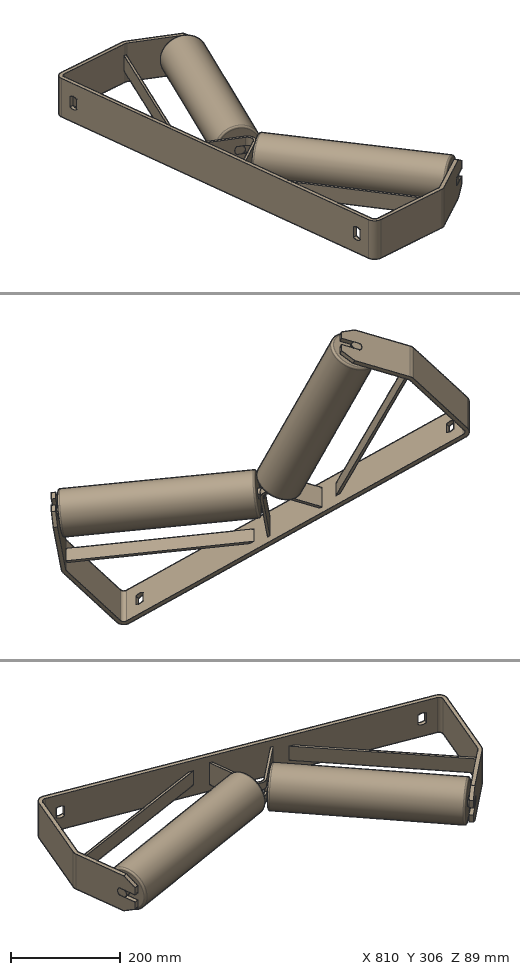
import cadquery as cq
import math


frame_length = 810.0
frame_height = 80.0
frame_thickness = 8.0
frame_bend_radius = 16.0
side_height = 181.0
tilt = math.radians(30)

seat_distance = 109.0
tip_beyond_seat = 30.0
tip_chamfer_length = 26.0
tip_chamfer_height = 15.0
slot_width = 16.0

mount_inset = 46.0
mount_width = 16.0
mount_diameter = 27.0

roller_diameter = 89.0
roller_length = 364.5
roller_rounding = 4.0
roller_gap = 5.0
shaft_diameter = 20.0

bracket_thickness = 5.0
bracket_height = 50.0
bracket_bend_radius = 16.0

brace_thickness = 5.0
brace_height = 32.0
brace_top = 179.0
brace_foot = 95.0

arm_direction = cq.Vector(math.sin(tilt), math.cos(tilt), 0)
axis_direction = cq.Vector(math.cos(tilt), -math.sin(tilt), 0)
frame_corner = cq.Vector(-frame_length / 2, 0, 0)
arm_corner = cq.Vector(-frame_length / 2, side_height, 0)
seat = arm_corner + arm_direction * seat_distance
arm_tip = seat + arm_direction * tip_beyond_seat

roller_start = frame_thickness + roller_gap
bracket_start = roller_start + roller_length + roller_gap
shaft_length = bracket_start + bracket_thickness
bracket_seat = seat + axis_direction * bracket_start
outer_apex_y = bracket_seat.y - bracket_seat.x / math.tan(tilt)
inner_apex_y = outer_apex_y - bracket_thickness / math.sin(tilt)


def mirrored_strap(left_half, height):
    """Extrude the left half of a strap's outline and join it to its mirror image."""
    half = cq.Workplane("XY").polyline(left_half).close().extrude(height / 2, both=True)
    return half.union(half.mirror("YZ"), clean=True)


def round_bends(strap, left_corners, radius):
    """Round the upright edges at the given corners and at their mirror images."""
    corners = set(left_corners + [(-x, y) for x, y in left_corners])
    for x, y in sorted(corners):
        strap = strap.edges(cq.NearestToPointSelector((x, y, 0))).fillet(radius)
    return strap


def plane_on_axis(distance):
    """Plane square to the left roller axis: local X runs up the arm, normal along the axis."""
    origin = seat + axis_direction * distance
    return cq.Plane(origin=origin.toTuple(), xDir=arm_direction.toTuple(), normal=axis_direction.toTuple())


def flat_shaft_piece(start, length):
    """Shaft piece with flats on top and below, as wide as the slots."""
    plane = plane_on_axis(start)
    round_piece = cq.Workplane(plane).circle(shaft_diameter / 2).extrude(length)
    flats = cq.Workplane(plane).rect(shaft_diameter, slot_width).extrude(length)
    return round_piece.intersect(flats)


def shaft_slot(start, depth, length):
    """Slot whose bottom fits the flattened shaft, open up the arm."""
    channel = cq.Workplane(plane_on_axis(start)).center(length / 2, 0).rect(length, slot_width).extrude(depth)
    return channel.union(flat_shaft_piece(start, depth))


def cut_on_both_sides(body, cutter):
    return body.cut(cutter).cut(cutter.mirror("YZ"))


def make_frame():
    inner_side_x = -frame_length / 2 + frame_thickness
    inner_corner = (inner_side_x, frame_thickness)
    inner_arm_corner = (inner_side_x, side_height - frame_thickness * math.tan(tilt / 2))
    inner_tip = arm_tip + axis_direction * frame_thickness
    outer_half = [(0, 0), (frame_corner.x, 0), (arm_corner.x, arm_corner.y), (arm_tip.x, arm_tip.y)]
    inner_half = [(inner_tip.x, inner_tip.y), inner_arm_corner, inner_corner, (0, frame_thickness)]
    frame = mirrored_strap(outer_half + inner_half, frame_height)

    frame = round_bends(frame, outer_half[1:3], frame_bend_radius)
    frame = round_bends(frame, inner_half[1:3], frame_bend_radius - frame_thickness)

    tip_plane = plane_on_axis(0)
    shoulder = tip_beyond_seat - tip_chamfer_length
    half_height = frame_height / 2
    corner = [(shoulder, half_height), (tip_beyond_seat, half_height)]
    corner.append((tip_beyond_seat, half_height - tip_chamfer_height))
    for side in (-1, 1):
        points = [(x, side * y) for x, y in corner]
        chamfer = cq.Workplane(tip_plane).polyline(points).close().extrude(frame_thickness)
        frame = cut_on_both_sides(frame, chamfer)

    frame = cut_on_both_sides(frame, shaft_slot(0, frame_thickness, tip_beyond_seat))

    mount = cq.Workplane("XZ", origin=(-frame_length / 2 + mount_inset, frame_thickness, 0))
    mount_circle = mount.circle(mount_diameter / 2).extrude(frame_thickness)
    mount_flats = mount.rect(mount_width, mount_diameter).extrude(frame_thickness)
    return cut_on_both_sides(frame, mount_circle.intersect(mount_flats))


def make_bracket():
    base_y = frame_thickness
    outer_foot_x = -(outer_apex_y - base_y) * math.tan(tilt)
    inner_foot_x = -(inner_apex_y - base_y) * math.tan(tilt)
    outer_half = [(outer_foot_x, base_y), (0, outer_apex_y)]
    inner_half = [(0, inner_apex_y), (inner_foot_x, base_y)]
    bracket = mirrored_strap(outer_half + inner_half, bracket_height)
    bracket = round_bends(bracket, outer_half[1:], bracket_bend_radius)
    bracket = round_bends(bracket, inner_half[:1], bracket_bend_radius - bracket_thickness)

    slot_length = -bracket_seat.x / math.sin(tilt)
    return cut_on_both_sides(bracket, shaft_slot(bracket_start, bracket_bend_radius, slot_length))


def make_roller():
    """Left roller with its shaft, whose flattened ends are flush with the straps."""
    roller = cq.Workplane(plane_on_axis(roller_start)).circle(roller_diameter / 2).extrude(roller_length)
    roller = roller.edges().fillet(roller_rounding)
    return roller.union(flat_shaft_piece(0, shaft_length))


def make_brace(frame):
    """Left brace from the arm bend to the base, its upper end fitted to the bend."""
    top = cq.Vector(-frame_length / 2 + frame_thickness, brace_top, 0)
    foot = cq.Vector(-brace_foot, frame_thickness, 0)
    slope = math.atan2(top.y - foot.y, foot.x - top.x)
    lower_top_y = top.y - brace_thickness / math.cos(slope)
    lower_foot_x = foot.x - brace_thickness / math.sin(slope)
    outline = [(top.x, top.y), (foot.x, foot.y), (lower_foot_x, foot.y), (top.x, lower_top_y)]
    brace = cq.Workplane("XY").polyline(outline).close().extrude(brace_height / 2, both=True)
    return brace.cut(frame)


frame = make_frame()
bracket = make_bracket()
bodies = [frame.val(), bracket.val()]
for left_body in (make_roller(), make_brace(frame)):
    bodies.append(left_body.val())
    bodies.append(left_body.mirror("YZ").val())

result = cq.Compound.makeCompound(bodies)